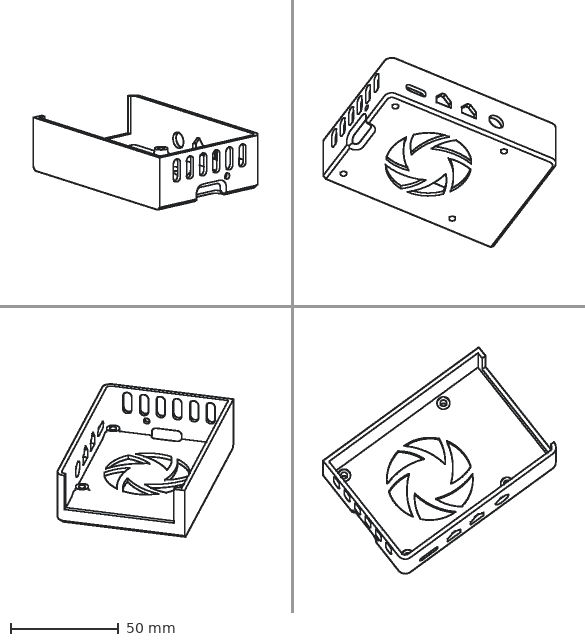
import cadquery as cq
import math

LENGTH = 91.0
WIDTH = 62.0
HEIGHT = 25.5
WALL = 2.0
FLOOR = 2.0
CORNER_RADIUS = 4.0
BOTTOM_CHAMFER = 1.5

HOLE_SPACING_X = 58.0
HOLE_SPACING_Y = 49.0
FIRST_HOLE_X = 26.0
FIRST_HOLE_Y = 7.0
BOARD_THICKNESS = 1.5
BOARD_CENTER_Y = FIRST_HOLE_Y + HOLE_SPACING_Y / 2

STANDOFF_HEIGHT = 4.0
STANDOFF_RADIUS = 3.0
STANDOFF_HOLE_DIAMETER = 3.0
FLARE_RADIUS = 3.25

BOARD_BOTTOM = FLOOR + STANDOFF_HEIGHT
BOARD_TOP = BOARD_BOTTOM + BOARD_THICKNESS

OPEN_END_WIDTH = 52.5

FAN_X = 52.5
FAN_RADIUS = 20.0
BLADE_COUNT = 6
TRAILING_RADIUS = 30.0
TRAILING_OFFSET = 20.0
TRAILING_ANGLE = -113.0
LEADING_RADIUS = 22.4
LEADING_OFFSET = 17.6
LEADING_ANGLE = 173.2

AUDIO_X = 33.5
AUDIO_Z = BOARD_TOP + 3.25
AUDIO_DIAMETER = 7.5
VIDEO_PORTS_X = (48.0, 61.5)
VIDEO_WIDTH = 7.7
VIDEO_SIDE_HEIGHT = 4.0
VIDEO_HEIGHT = 7.6
VIDEO_TOP_WIDTH = 1.5
VIDEO_BOTTOM = BOARD_TOP - 0.25
POWER_X = 76.3
POWER_Z = BOARD_TOP + 1.85
POWER_LENGTH = 10.5
POWER_HEIGHT = 4.0

VENT_COUNT = 6
VENT_PITCH = 8.0
VENT_CENTER_Y = 30.5
VENT_CENTER_Z = 17.5
VENT_HEIGHT = 11.0
VENT_WIDTH = 4.2
INDICATOR_Y = 41.2
INDICATOR_Z = 9.2
INDICATOR_DIAMETER = 2.8

CARD_WIDTH = 14.2
CARD_START_X = 86.4
CARD_CORNER_RADIUS = 2.0
CARD_TOP = BOARD_BOTTOM
CARD_FLARE_ANGLE = 45.0


def block(x_range, y_range, z_range):
    """Box given by its limits along the three axes."""
    size = [high - low for low, high in (x_range, y_range, z_range)]
    corner = (x_range[0], y_range[0], z_range[0])
    return cq.Workplane("XY").box(*size, centered=False).translate(corner)


def outer_block():
    """Outside of the case: rounded at the two +Y corners, chamfered below except on the -Y side."""
    body = block((0, LENGTH), (0, WIDTH), (0, HEIGHT))
    body = body.edges("|Z and >Y").fillet(CORNER_RADIUS)
    return body.faces("<Z").edges("not(<Y)").chamfer(BOTTOM_CHAMFER)


def cavity():
    """Inside of the tray."""
    inside = block((WALL, LENGTH - WALL), (WALL, WIDTH - WALL), (FLOOR, HEIGHT))
    return inside.edges("|Z and >Y").fillet(CORNER_RADIUS - WALL)


def standoff(x, y):
    """Post whose foot flares out into the floor along a quarter circle."""
    foot_bottom = FLOOR / 2
    foot_radius = STANDOFF_RADIUS + FLARE_RADIUS
    diagonal = FLARE_RADIUS * (1 - math.sqrt(0.5))
    profile = (
        cq.Workplane("XZ")
        .moveTo(0, foot_bottom)
        .lineTo(foot_radius, foot_bottom)
        .lineTo(foot_radius, FLOOR)
        .threePointArc(
            (STANDOFF_RADIUS + diagonal, FLOOR + diagonal),
            (STANDOFF_RADIUS, FLOOR + FLARE_RADIUS),
        )
        .lineTo(STANDOFF_RADIUS, BOARD_BOTTOM)
        .lineTo(0, BOARD_BOTTOM)
        .close()
    )
    return profile.revolve(360, (0, 0), (0, 1)).translate((x, y, 0))


def mounting_posts(outside):
    """Four standoffs trimmed to the outside of the case, and the screw holes through them."""
    posts = cq.Workplane("XY")
    holes = cq.Workplane("XY")
    for x in (FIRST_HOLE_X, FIRST_HOLE_X + HOLE_SPACING_X):
        for y in (FIRST_HOLE_Y, FIRST_HOLE_Y + HOLE_SPACING_Y):
            posts = posts.add(standoff(x, y).intersect(outside))
            holes = holes.add(
                cq.Workplane("XY").center(x, y).circle(STANDOFF_HOLE_DIAMETER / 2).extrude(BOARD_BOTTOM)
            )
    return posts.combine(), holes.combine()


def floor_disc(radius, offset, angle):
    """Disc through the floor, set off from the fan axis in the given direction."""
    x = FAN_X + offset * math.cos(math.radians(angle))
    y = BOARD_CENTER_Y + offset * math.sin(math.radians(angle))
    return cq.Workplane("XY").center(x, y).circle(radius).extrude(FLOOR)


def fan_grille():
    """Ring of blade-shaped openings, each bounded by the rim and two arcs."""
    blade = (
        floor_disc(FAN_RADIUS, 0, 0)
        .intersect(floor_disc(LEADING_RADIUS, LEADING_OFFSET, LEADING_ANGLE))
        .cut(floor_disc(TRAILING_RADIUS, TRAILING_OFFSET, TRAILING_ANGLE))
    )
    axis_start = (FAN_X, BOARD_CENTER_Y, 0)
    axis_end = (FAN_X, BOARD_CENTER_Y, 1)
    grille = cq.Workplane("XY")
    for index in range(BLADE_COUNT):
        grille = grille.add(blade.rotate(axis_start, axis_end, index * 360 / BLADE_COUNT))
    return grille.combine()


def back_wall_sketch(x, z):
    """Workplane on the inner face of the +Y wall, centred at the given point."""
    return cq.Workplane("XZ", origin=(x, WIDTH - WALL, z))


def connector_openings():
    """Audio hole, two gable-topped video openings and the power slot in the +Y wall."""
    cuts = back_wall_sketch(AUDIO_X, AUDIO_Z).circle(AUDIO_DIAMETER / 2).extrude(-WALL)
    half = VIDEO_WIDTH / 2
    half_top = VIDEO_TOP_WIDTH / 2
    outline = [
        (-half, 0),
        (half, 0),
        (half, VIDEO_SIDE_HEIGHT),
        (half_top, VIDEO_HEIGHT),
        (-half_top, VIDEO_HEIGHT),
        (-half, VIDEO_SIDE_HEIGHT),
    ]
    for x in VIDEO_PORTS_X:
        video = back_wall_sketch(x, VIDEO_BOTTOM).polyline(outline).close().extrude(-WALL)
        cuts = cuts.add(video)
    power = back_wall_sketch(POWER_X, POWER_Z).slot2D(POWER_LENGTH, POWER_HEIGHT).extrude(-WALL)
    return cuts.add(power).combine()


def end_wall_sketch(y, z):
    """Workplane on the inner face of the +X wall, centred at the given point."""
    return cq.Workplane("YZ", origin=(LENGTH - WALL, y, z))


def vent_openings():
    """Row of upright slots and the indicator hole in the +X wall."""
    slots = (
        end_wall_sketch(VENT_CENTER_Y, VENT_CENTER_Z)
        .rarray(VENT_PITCH, 1, VENT_COUNT, 1)
        .slot2D(VENT_HEIGHT, VENT_WIDTH, 90)
        .extrude(WALL)
    )
    indicator = end_wall_sketch(INDICATOR_Y, INDICATOR_Z).circle(INDICATOR_DIAMETER / 2).extrude(WALL)
    return slots.add(indicator).combine()


def card_opening():
    """Notch across the corner of the floor and the +X wall, flaring outward through both."""
    floor_reach = 2 * (LENGTH - CARD_START_X)
    floor_flare = (
        cq.Workplane("XY", origin=(LENGTH, BOARD_CENTER_Y, FLOOR))
        .sketch()
        .rect(floor_reach, CARD_WIDTH)
        .vertices()
        .fillet(CARD_CORNER_RADIUS)
        .finalize()
        .extrude(-FLOOR, taper=-CARD_FLARE_ANGLE)
    )
    wall_reach = 2 * CARD_TOP
    wall_flare = (
        end_wall_sketch(BOARD_CENTER_Y, 0)
        .sketch()
        .rect(CARD_WIDTH, wall_reach)
        .vertices()
        .fillet(CARD_CORNER_RADIUS)
        .finalize()
        .extrude(WALL, taper=-CARD_FLARE_ANGLE)
    )
    return floor_flare.union(wall_flare)


def open_end():
    """Wide opening in the -X wall, level with the board and open at the top."""
    half = OPEN_END_WIDTH / 2
    y_range = (BOARD_CENTER_Y - half, BOARD_CENTER_Y + half)
    return block((0, WALL), y_range, (BOARD_TOP, HEIGHT))


outside = outer_block()
posts, screw_holes = mounting_posts(outside)
case = outside.cut(cavity()).union(posts)
for opening in (
    screw_holes,
    fan_grille(),
    connector_openings(),
    vent_openings(),
    card_opening(),
    open_end(),
):
    case = case.cut(opening)

result = case